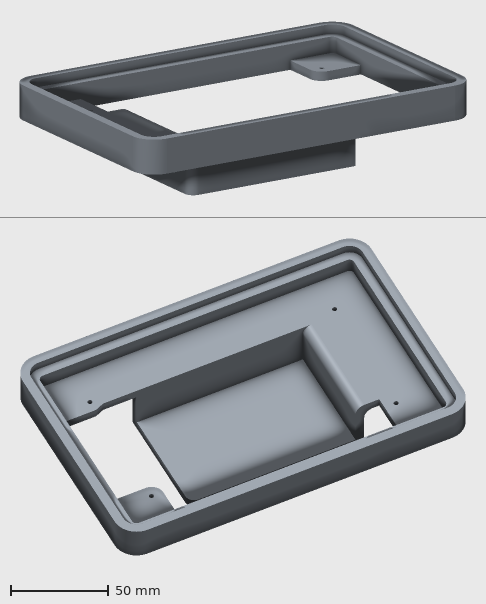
import cadquery as cq

WIDTH = 130.7
LENGTH = 199.8
TRAY_HEIGHT = 18.8
OUTER_RADIUS = 12.5
WALL = 10.0
LEDGE_WIDTH = 5.0
LEDGE_DEPTH = 5.0
CAVITY_RADIUS = OUTER_RADIUS - WALL
LEDGE_RADIUS = OUTER_RADIUS - LEDGE_WIDTH
SHEET = 5.0

HOLE_DIAMETER = 2.5
HOLE_X = 35.4
HOLE_Y = 70.1
TAB_RADIUS = 6.8
TAB_X = 29.2
TAB_Y = 63.5
TAPER_BACK = 69.7
TAPER_FRONT = 64.5

POCKET_DROP = 25.0
POCKET_LEFT = -TAB_X
POCKET_RIGHT = 31.4
POCKET_FRONT = -50.0
POCKET_BACK = 45.2
BEND_RADIUS = 5.0

CAVITY_WIDTH = WIDTH - 2 * WALL
CAVITY_LENGTH = LENGTH - 2 * WALL
OVERCUT = 2.0
RUN_OUT = 10.0


def block(x_min, x_max, y_min, y_max, z_min, z_max):
    """Box given by its limits along each axis."""
    size = (x_max - x_min, y_max - y_min, z_max - z_min)
    return cq.Workplane().box(*size, centered=False).translate((x_min, y_min, z_min))


def rounded_block(inset, radius, z_min, z_max):
    """Rounded rectangle, inset evenly from the outer side of the tray."""
    return (
        cq.Workplane()
        .workplane(offset=z_min)
        .rect(WIDTH - 2 * inset, LENGTH - 2 * inset)
        .extrude(z_max - z_min)
        .edges("|Z")
        .fillet(radius)
    )


def make_tray():
    """Rim with a stepped inner wall around a thin plate; its underside is at Z = 0."""
    tray = rounded_block(0, OUTER_RADIUS, 0, TRAY_HEIGHT)
    cavity = rounded_block(WALL, CAVITY_RADIUS, SHEET, TRAY_HEIGHT)
    ledge = rounded_block(LEDGE_WIDTH, LEDGE_RADIUS, TRAY_HEIGHT - LEDGE_DEPTH, TRAY_HEIGHT)
    return tray.cut(cavity).cut(ledge)


def make_pocket_body():
    """Solid pocket outline, running on past its open sides until it is trimmed."""
    return block(
        POCKET_LEFT - RUN_OUT,
        POCKET_RIGHT + SHEET,
        POCKET_FRONT - SHEET,
        POCKET_BACK + RUN_OUT,
        -POCKET_DROP,
        0,
    )


def fillet_pocket_root(part):
    """Blend the two outer pocket walls into the tray underside, then round their corner."""
    margin = 0.2
    root = cq.selectors.BoxSelector(
        (POCKET_LEFT - RUN_OUT + margin, POCKET_FRONT - SHEET - margin, -margin),
        (POCKET_RIGHT + SHEET + margin, POCKET_BACK + RUN_OUT - margin, margin),
    )
    part = part.edges(root).fillet(BEND_RADIUS)
    corner = cq.selectors.NearestToPointSelector(
        (POCKET_RIGHT + SHEET, POCKET_FRONT - SHEET, -POCKET_DROP / 2)
    )
    return part.edges(corner).fillet(SHEET)


def make_pocket_trim():
    """Material to remove below the tray so the pocket ends flush on its open sides."""
    low = -POCKET_DROP - OVERCUT
    around = block(-WIDTH / 2, WIDTH / 2, -LENGTH / 2, LENGTH / 2, low, 0)
    kept = block(POCKET_LEFT, WIDTH / 2, -LENGTH / 2, POCKET_BACK, low, 0)
    kept = kept.edges("|Z and <X and >Y").fillet(SHEET)
    return around.cut(kept)


def make_pocket_cut():
    """Pocket interior, with the front plate edge rounded over into the wall."""
    top = SHEET + OVERCUT
    back = POCKET_BACK + OVERCUT
    left = POCKET_LEFT - OVERCUT
    interior = block(left, POCKET_RIGHT, POCKET_FRONT, back, SHEET - POCKET_DROP, top)
    bend = (
        cq.Workplane("YZ", origin=(left, 0, 0))
        .moveTo(POCKET_FRONT - BEND_RADIUS, SHEET)
        .radiusArc((POCKET_FRONT, SHEET - BEND_RADIUS), BEND_RADIUS)
        .lineTo(POCKET_FRONT, SHEET)
        .close()
        .extrude(POCKET_RIGHT - left)
    )
    return interior.union(bend)


def make_plate_opening():
    """Opening through the plate, leaving a rounded left tab and a tapered right tab."""
    left = -CAVITY_WIDTH / 2
    back = CAVITY_LENGTH / 2
    low, high = -OVERCUT, SHEET
    side = block(left, POCKET_LEFT, -TAB_Y, TAB_Y, low, high)
    middle = block(POCKET_LEFT, POCKET_RIGHT, POCKET_BACK, back, low, high)
    right_tab = (
        cq.Workplane("XY", origin=(0, 0, low))
        .moveTo(TAB_X, back)
        .lineTo(TAB_X, TAPER_BACK)
        .lineTo(POCKET_RIGHT, TAPER_FRONT)
        .lineTo(POCKET_RIGHT, back)
        .close()
        .extrude(high - low)
    )
    left_tab = block(left, -TAB_X, TAB_Y, back, low, high)
    round_left_tab = left_tab.edges("|Z and >X and <Y").fillet(TAB_RADIUS)
    corner = left_tab.cut(round_left_tab)
    return side.union(middle).cut(right_tab).union(corner)


def make_holes():
    """Four mounting holes through the plate."""
    return (
        cq.Workplane()
        .workplane(offset=-OVERCUT)
        .rect(2 * HOLE_X, 2 * HOLE_Y, forConstruction=True)
        .vertices()
        .circle(HOLE_DIAMETER / 2)
        .extrude(SHEET + 2 * OVERCUT)
    )


shell = fillet_pocket_root(make_tray().union(make_pocket_body()))
result = shell.cut(make_pocket_trim()).cut(make_pocket_cut()).cut(make_plate_opening()).cut(make_holes())